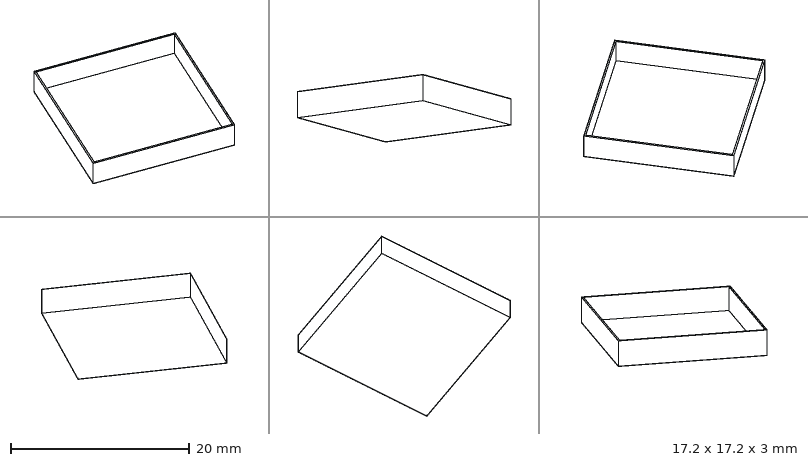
import cadquery as cq

side_length = 17.2
height = 3.0
wall_thickness = 0.2
floor_thickness = 0.2

cavity_side = side_length - 2 * wall_thickness
cavity_depth = height - floor_thickness


def make_block():
    """Square outer block, centred in X and Y and standing on Z = 0."""
    return cq.Workplane("XY").rect(side_length, side_length).extrude(height)


def cut_cavity(body):
    """Square cavity open at the top, leaving thin walls and a floor."""
    return body.faces(">Z").workplane().rect(cavity_side, cavity_side).cutBlind(-cavity_depth)


result = cut_cavity(make_block())